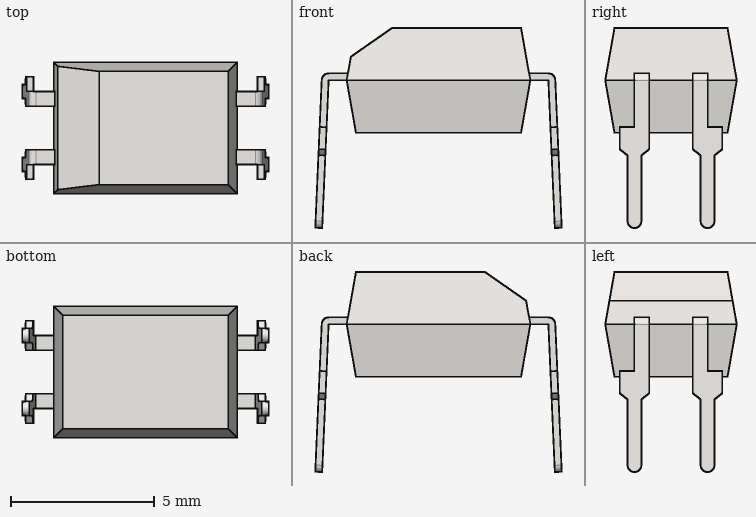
import cadquery as cq
import math

overall_length = 8.57
body_length = 6.385
body_width = 4.58
body_half_height = 1.825
draft_angle = 10.0

bevel_height = 1.0
bevel_top_x = -1.61

lead_thickness = 0.25
lead_pitch = 2.54
lead_splay = 2.5
leg_bottom_z = -5.13
arm_width = 0.51
shoulder_width = 2 * arm_width
tip_width = 0.49
shoulder_top = -1.63
shoulder_bottom = -2.4
shoulder_taper_end = -2.61

draft_slope = math.tan(math.radians(draft_angle))
splay_sine = math.sin(math.radians(lead_splay))
splay_cosine = math.cos(math.radians(lead_splay))
leg_length = -leg_bottom_z / splay_cosine
bend_x = -overall_length / 2 + lead_thickness * splay_cosine + leg_length * splay_sine


def end_wall_x(z):
    """X of the drafted -X wall of the upper half at height z."""
    return -body_length / 2 + z * draft_slope


def make_package():
    """Housing with drafted halves and one bevelled top edge."""
    upper = (
        cq.Workplane("XY")
        .rect(body_length, body_width)
        .extrude(body_half_height, taper=draft_angle)
    )
    lower = upper.mirror("XY")

    bevel_bottom_z = body_half_height - bevel_height
    bevel_run = bevel_top_x - end_wall_x(bevel_bottom_z)
    cutter = (
        cq.Workplane("XZ")
        .moveTo(bevel_top_x + bevel_run, body_half_height + bevel_height)
        .lineTo(bevel_top_x - 2 * bevel_run, body_half_height - 2 * bevel_height)
        .lineTo(bevel_top_x - 2 * bevel_run, body_half_height + bevel_height)
        .close()
        .extrude(body_width, both=True)
    )
    return upper.cut(cutter).union(lower)


def make_leg():
    """Flat leg hanging from the bend, centred on Y = 0, shoulder toward -Y."""
    inner_y = shoulder_width / 2
    outer_y = -shoulder_width / 2
    arm_y = inner_y - arm_width
    tip_radius = tip_width / 2
    tip_start = tip_radius - leg_length
    leg = (
        cq.Workplane("YZ")
        .moveTo(inner_y, 0)
        .lineTo(inner_y, shoulder_bottom)
        .lineTo(tip_radius, shoulder_taper_end)
        .lineTo(tip_radius, tip_start)
        .threePointArc((0, -leg_length), (-tip_radius, tip_start))
        .lineTo(-tip_radius, shoulder_taper_end)
        .lineTo(outer_y, shoulder_bottom)
        .lineTo(outer_y, shoulder_top)
        .lineTo(arm_y, shoulder_top)
        .lineTo(arm_y, 0)
        .close()
        .extrude(-lead_thickness)
    )
    return leg.rotate((0, 0, 0), (0, 1, 0), lead_splay).translate((bend_x, 0, 0))


def make_arm():
    """Horizontal arm and rounded bend, ending on the drafted package wall."""
    middle_angle = math.radians(45)
    bend_middle = (
        bend_x - lead_thickness * math.sin(middle_angle),
        lead_thickness * math.cos(middle_angle),
    )
    bend_start = (bend_x - lead_thickness * splay_cosine, lead_thickness * splay_sine)
    arm = (
        cq.Workplane("XZ")
        .moveTo(bend_x, 0)
        .lineTo(*bend_start)
        .threePointArc(bend_middle, (bend_x, lead_thickness))
        .lineTo(end_wall_x(lead_thickness), lead_thickness)
        .lineTo(end_wall_x(0), 0)
        .close()
        .extrude(-arm_width)
    )
    return arm.translate((0, shoulder_width / 2 - arm_width, 0))


def make_lead(x_side, y_side):
    """One lead, mirrored from the -X, -Y corner to the requested corner."""
    lead = make_leg().union(make_arm()).translate((0, -lead_pitch / 2, 0))
    if x_side > 0:
        lead = lead.mirror("YZ")
    if y_side > 0:
        lead = lead.mirror("XZ")
    return lead


package = make_package()
leads = [make_lead(x_side, y_side) for x_side in (-1, 1) for y_side in (-1, 1)]

result = cq.Compound.makeCompound([package.val(), *[lead.val() for lead in leads]])